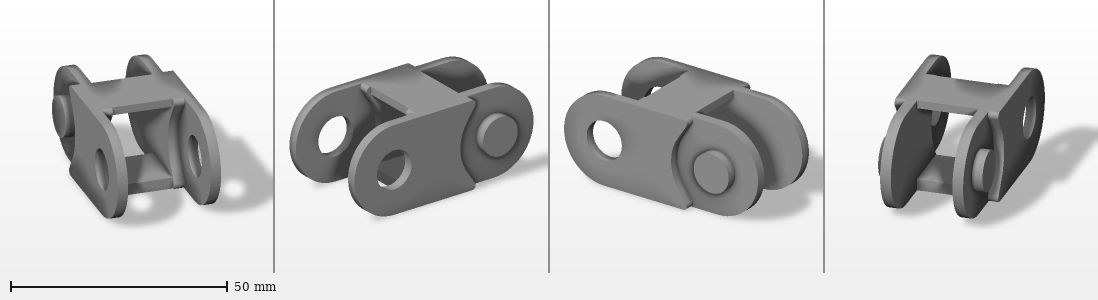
import cadquery as cq
import math

length = 53.45
height = 22.9
end_radius = height / 2
pivot_x = length / 2 - end_radius

inner_plate_inside = 7.5
inner_plate_outside = 10.1
outer_plate_outside = 12.6
pin_end = 25.4 / 2

pin_radius = 4.95
hole_radius = 4.995

hollow_radius = 11.5
hollow_half_angle = math.radians(33.6)
tip_radius = 1.0

web_length = 14.2
top_web_thickness = 2.0
bottom_web_thickness = 2.8


def hollow_ended_plate(y_start, y_end):
    """Plate with a round end at +X and an end hollowed around the -X pivot."""
    cos_a = math.cos(hollow_half_angle)
    sin_a = math.sin(hollow_half_angle)

    tip_z = end_radius - tip_radius
    tip_x = -pivot_x + (hollow_radius + tip_radius - tip_z * sin_a) / cos_a
    flank_x = tip_x - tip_radius * cos_a
    flank_z = tip_z - tip_radius * sin_a
    tip_mid_angle = (math.pi / 2 + math.pi + hollow_half_angle) / 2
    tip_mid_x = tip_x + tip_radius * math.cos(tip_mid_angle)
    tip_mid_z = tip_z + tip_radius * math.sin(tip_mid_angle)
    hollow_x = -pivot_x + hollow_radius * cos_a
    hollow_z = hollow_radius * sin_a

    outline = (
        cq.Workplane("XZ", origin=(0, y_start, 0))
        .moveTo(tip_x, end_radius)
        .lineTo(pivot_x, end_radius)
        .threePointArc((length / 2, 0), (pivot_x, -end_radius))
        .lineTo(tip_x, -end_radius)
        .threePointArc((tip_mid_x, -tip_mid_z), (flank_x, -flank_z))
        .lineTo(hollow_x, -hollow_z)
        .threePointArc((-pivot_x + hollow_radius, 0), (hollow_x, hollow_z))
        .lineTo(flank_x, flank_z)
        .threePointArc((tip_mid_x, tip_mid_z), (tip_x, end_radius))
        .close()
    )
    return outline.extrude(y_start - y_end)


def cylinder_along_y(x, radius, y_start, y_end):
    return (
        cq.Workplane("XZ", origin=(x, y_start, 0))
        .circle(radius)
        .extrude(y_start - y_end)
    )


def side():
    """Inner plate, outer plate and pin on the +Y side."""
    inner = hollow_ended_plate(inner_plate_inside, inner_plate_outside).mirror("YZ")
    outer = hollow_ended_plate(inner_plate_outside, outer_plate_outside)
    hole = cylinder_along_y(pivot_x, hole_radius, inner_plate_outside, outer_plate_outside)
    pin = cylinder_along_y(-pivot_x, pin_radius, inner_plate_outside, pin_end)
    return inner.union(outer.cut(hole)).union(pin)


def web(z_bottom, thickness):
    """Flat bridge reaching through the inner plates to the outer plates."""
    return (
        cq.Workplane("XY", origin=(0, 0, z_bottom))
        .rect(web_length, 2 * inner_plate_outside)
        .extrude(thickness)
    )


back_side = side()
front_side = back_side.mirror("XZ")
top_web = web(height / 2 - top_web_thickness, top_web_thickness)
bottom_web = web(-height / 2, bottom_web_thickness)

result = back_side.union(front_side).union(top_web).union(bottom_web)